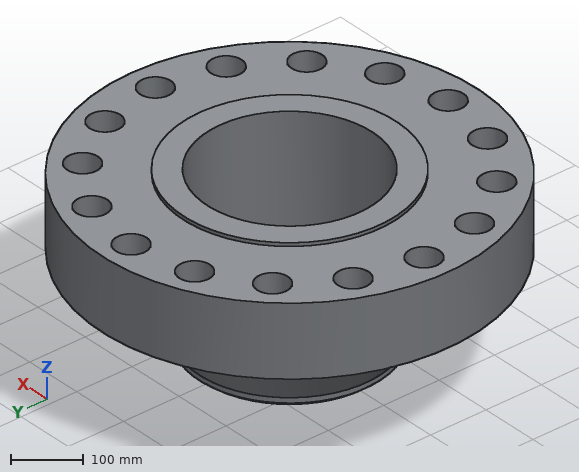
import cadquery as cq

flange_diameter = 673.0
total_height = 289.0
flange_thickness = 124.0
bore_diameter = 295.5

face_diameter = 381.0
face_height = 6.0

hub_top_diameter = 448.0
weld_end_diameter = 324.5
weld_end_height = 18.0
bevel_height = 9.5
weld_tip_diameter = 301.5
hub_fillet = 16.0

bolt_count = 16
bolt_circle_diameter = 572.0
bolt_hole_diameter = 54.5

flange_top = total_height - face_height
flange_bottom = flange_top - flange_thickness
flange_radius = flange_diameter / 2
face_radius = face_diameter / 2
hub_radius = hub_top_diameter / 2
neck_radius = weld_end_diameter / 2


def flange_body():
    """Revolve the solid profile of weld neck, flange and raised face."""
    return (
        cq.Workplane("XZ")
        .moveTo(0, 0)
        .lineTo(weld_tip_diameter / 2, 0)
        .lineTo(neck_radius, bevel_height)
        .lineTo(neck_radius, weld_end_height)
        .lineTo(hub_radius, flange_bottom)
        .lineTo(flange_radius, flange_bottom)
        .lineTo(flange_radius, flange_top)
        .lineTo(face_radius, flange_top)
        .lineTo(face_radius, total_height)
        .lineTo(0, total_height)
        .close()
        .revolve(360, (0, 0, 0), (0, 1, 0))
    )


def round_hub_root(body):
    """Fillet the circle where the hub meets the underside of the flange."""
    reach = hub_radius + 1.0
    root = cq.selectors.BoxSelector(
        (-reach, -reach, flange_bottom - 1.0),
        (reach, reach, flange_bottom + 1.0),
        boundingbox=True,
    )
    return body.edges(root).fillet(hub_fillet)


def bolt_holes():
    """Ring of through-hole cutters, the first one on +X."""
    return (
        cq.Workplane("XY")
        .polarArray(bolt_circle_diameter / 2, 0, 360, bolt_count)
        .circle(bolt_hole_diameter / 2)
        .extrude(total_height)
    )


bore = cq.Workplane("XY").circle(bore_diameter / 2).extrude(total_height)
result = round_hub_root(flange_body()).cut(bore).cut(bolt_holes())